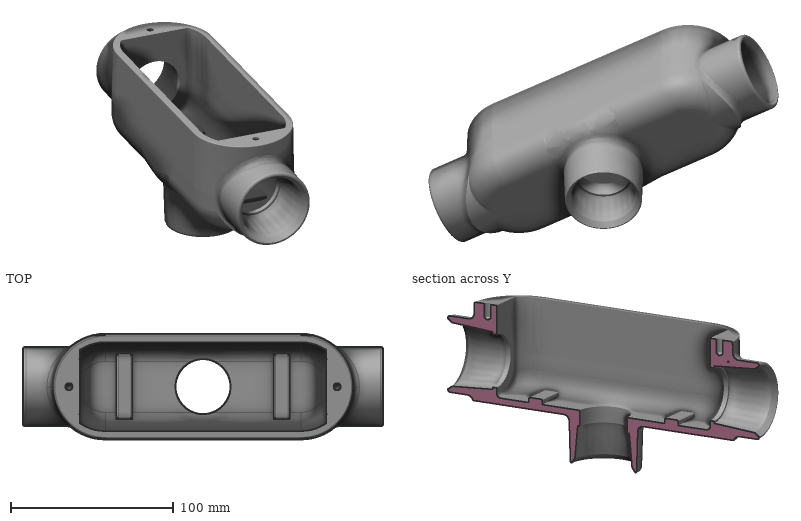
import cadquery as cq
import math


length = 222.2
body_width = 65.3
end_center = 60.2
rim_height = 35.8
body_depth = 27.5
draft_angle = 1.25
bottom_round = 17.0
swell_bottom_round = 11.5
rim_round = 0.7

wall = 4.5
cavity_half_length = 76.0
cavity_end_round = 2.7

hub_diameter = 49.1
hub_start = 66.7
hub_blend = 4.0
hub_end_round = 1.8

spout_taper_start = 32.5
spout_bottom = 57.8
spout_tip_radius = 23.8
spout_edge_height = 1.1
spout_edge_inset = 0.5
spout_blend = 3.8

bore_diameter = 33.8
socket_length = 32.0
spout_socket_length = 24.5
socket_inner_radius = 18.2
socket_outer_radius = 20.2
mouth_radius = 22.7
mouth_depth = 3.3

pad_center = 48.5
pad_width = 9.8
pad_length = 40.5
pad_height = 3.3
pad_round = 1.1
screw_center = 82.7
screw_diameter = 4.5
screw_depth = 9.0
drill_point_angle = 118

body_radius = body_width / 2
hub_radius = hub_diameter / 2
bore_radius = bore_diameter / 2
floor_z = wall - body_depth
touch = 0.02


def obround(z, width):
    """Sketch the rounded-end plan outline of the body at height z."""
    return cq.Workplane("XY").workplane(offset=z).slot2D(2 * end_center + width, width)


def swell_section(x):
    """One cross-section of the body beside the spout; its corners tighten towards the middle."""
    blend = (1 + math.cos(math.pi * x / hub_radius)) / 2
    corner = bottom_round + (swell_bottom_round - bottom_round) * blend
    diagonal = corner * (1 - math.sqrt(0.5))
    side = body_radius
    return (
        cq.Workplane("YZ").workplane(offset=x)
        .moveTo(-side, 0)
        .lineTo(-side, corner - body_depth)
        .threePointArc((diagonal - side, diagonal - body_depth), (corner - side, -body_depth))
        .lineTo(side - corner, -body_depth)
        .threePointArc((side - diagonal, diagonal - body_depth), (side, corner - body_depth))
        .lineTo(side, 0)
        .close()
        .wires().val()
    )


def hub():
    """The hub on the +X end; its inner end is buried in the body."""
    cylinder = (
        cq.Workplane("XZ")
        .moveTo(hub_start, 0)
        .lineTo(hub_start, hub_radius)
        .lineTo(length / 2, hub_radius)
        .lineTo(length / 2, 0)
        .close()
        .revolve(360, (0, 0, 0), (1, 0, 0))
    )
    return cylinder.faces(">X").edges().fillet(hub_end_round)


def spout():
    """Tapered pipe stub pointing down, with a narrow bevel at its end."""
    return (
        cq.Workplane("XZ")
        .lineTo(hub_radius, 0)
        .lineTo(hub_radius, -spout_taper_start)
        .lineTo(spout_tip_radius, spout_edge_height - spout_bottom)
        .lineTo(spout_tip_radius - spout_edge_inset, -spout_bottom)
        .lineTo(0, -spout_bottom)
        .close()
        .revolve(360, (0, 0, 0), (0, 1, 0))
    )


def pipe_socket(depth):
    """Cutter with its mouth at the origin, facing +Z: flared mouth, tapered seat, shoulder and bore."""
    return (
        cq.Workplane("XZ")
        .lineTo(mouth_radius, 0)
        .lineTo(socket_outer_radius, -mouth_depth)
        .lineTo(socket_inner_radius, -depth)
        .lineTo(bore_radius, -depth)
        .lineTo(bore_radius, -length / 4)
        .lineTo(0, -length / 4)
        .close()
        .revolve(360, (0, 0, 0), (0, 1, 0))
    )


def both_ends(feature):
    """The feature and its copy turned half a turn about Z."""
    return feature, feature.rotate((0, 0, 0), (0, 0, 1), 180)


def blend_joint(body, axis_distance, in_joint, radius):
    """Fillet the edges that run around a pipe, on its surface, where it meets the body."""

    def runs_around_pipe(edge):
        points = [edge.positionAt(t) for t in (0, 0.25, 0.5, 0.75, 1)]
        return all(abs(axis_distance(p) - hub_radius) < touch and in_joint(p) for p in points)

    joint = [edge for edge in body.edges().vals() if runs_around_pipe(edge)]
    return body.newObject(joint).fillet(radius)


def blend_hubs(body):
    return blend_joint(
        body,
        lambda p: math.hypot(p.y, p.z),
        lambda p: end_center < abs(p.x) < end_center + body_radius + touch,
        hub_blend,
    )


def blend_spout(body):
    return blend_joint(
        body,
        lambda p: math.hypot(p.x, p.y),
        lambda p: -body_depth - touch < p.z < -body_depth / 2,
        spout_blend,
    )


def outer_body():
    """Solid body with both hubs blended in, before the spout is added."""
    upper = obround(0, body_width).extrude(rim_height, taper=draft_angle)
    upper = upper.faces(">Z").edges().fillet(rim_round)
    lower = obround(-2 * body_depth, body_width).extrude(2 * body_depth)
    body = upper.union(lower)
    for one_hub in both_ends(hub()):
        body = body.union(one_hub)
    body = blend_hubs(body)

    tray = obround(-body_depth, body_width).extrude(body_depth)
    tray = tray.faces("<Z").edges().fillet(bottom_round)
    hub_roll = cq.Workplane("YZ").circle(body_depth).extrude(length, both=True)
    above_axis = cq.Workplane("XY").rect(2 * length, 2 * body_width).extrude(2 * rim_height)
    body = body.intersect(above_axis.union(tray).union(hub_roll))

    swell_gap = cq.Workplane("XY").rect(hub_diameter, 2 * body_width).extrude(-2 * body_depth)
    sections = [swell_section(hub_radius * step / 2) for step in (-2, -1, 0, 1, 2)]
    swell = cq.Workplane(cq.Solid.makeLoft(sections))
    return body.cut(swell_gap).union(swell)


def cavity():
    """Hollow that follows the outer walls at a constant thickness, cut off flat at both ends."""
    inner_width = body_width - 2 * wall
    upper = obround(0, inner_width).extrude(2 * rim_height, taper=draft_angle)
    lower = obround(floor_z, inner_width).extrude(-floor_z)
    lower = lower.faces("<Z").edges().fillet(bottom_round - wall)
    limits = cq.Workplane("XY").box(2 * cavity_half_length, body_width, 6 * rim_height)
    hollow = upper.union(lower).intersect(limits)
    return hollow.faces("<X or >X").edges().fillet(cavity_end_round)


def floor_pad(x):
    """Low bar across the cavity floor, sunk into it by its own height."""
    pad = cq.Workplane("XY").box(pad_width, pad_length, 2 * pad_height)
    pad = pad.faces(">Z").edges().fillet(pad_round)
    return pad.translate((x, 0, floor_z))


def screw_hole(x):
    """Blind hole with a drill-point bottom."""
    radius = screw_diameter / 2
    point = radius / math.tan(math.radians(drill_point_angle / 2))
    return (
        cq.Workplane("XZ")
        .lineTo(radius, 0)
        .lineTo(radius, -screw_depth)
        .lineTo(0, -screw_depth - point)
        .close()
        .revolve(360, (0, 0, 0), (0, 1, 0))
        .translate((x, 0, rim_height))
    )


shell = blend_spout(outer_body().union(spout()))
shell = shell.cut(cavity())

hub_socket = pipe_socket(socket_length).rotate((0, 0, 0), (0, 1, 0), 90).translate((length / 2, 0, 0))
for socket in both_ends(hub_socket):
    shell = shell.cut(socket)
spout_socket = pipe_socket(spout_socket_length).rotate((0, 0, 0), (1, 0, 0), 180)
shell = shell.cut(spout_socket.translate((0, 0, -spout_bottom)))

for side in (-1, 1):
    shell = shell.union(floor_pad(side * pad_center))
    shell = shell.cut(screw_hole(side * screw_center))

result = shell